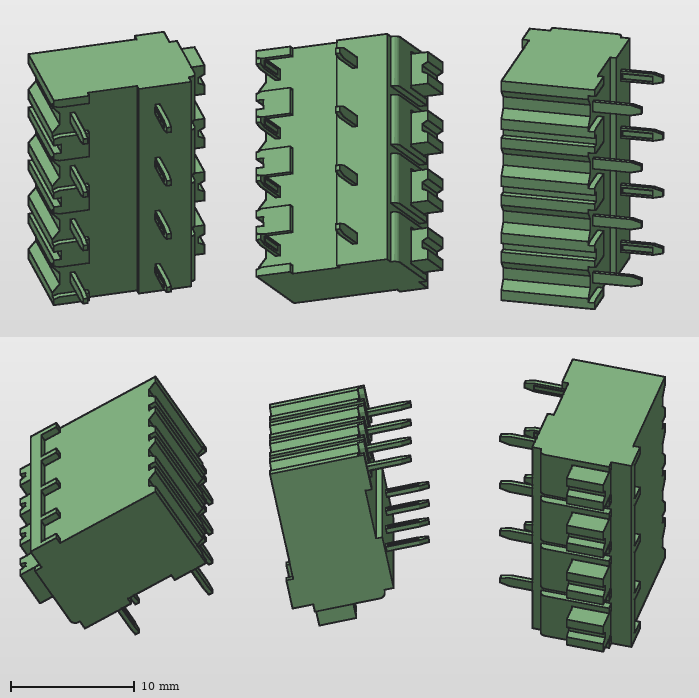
import cadquery as cq

poles = 4
pitch = 5.0
height = 19.2
pole_gap = poles * pitch - height
pole_height = pitch - pole_gap
pole_centers = [height / 2 + (i - (poles - 1) / 2) * pitch for i in range(poles)]
gap_centers = [height / 2 + (i - poles / 2) * pitch for i in range(1, poles)]

flange_thickness = 0.58
body_right = 8.4
body_depth = 11.55

flange_front = 10.56
finger_front = 9.1
finger_height = 0.71
end_finger_center = finger_height / 2

groove_depth = 0.63
groove_mouth_half = 1.23
groove_floor_half = 0.5

channel_floor = 7.87
channel_front = 3.0
channel_back = 7.15
slot_half = 1.4
lip_flare = 0.15
pocket_lip_depth = 0.48

block_left = 1.7
block_right = 7.62
block_top = 12.2
block_round = 0.5
block_lip_depth = 0.2

button_left = 1.77
button_right = 4.85
button_top = 13.65
button_height = 2.69
notch_depth = 0.52
notch_mouth_half = 0.52
notch_floor_half = 0.25

pin_end = 11.9
pin_taper_start = 11.1
pin_half = 0.45
pin_tip_half = 0.23
pin_thickness = 0.38
front_pin_y = 1.7
back_pin_y = 8.72
bead_start = 8.56
bead_height = 0.08
bead_width = 0.46


def block(x0, x1, y0, y1, z0, z1):
    """Box given by its limits along each axis."""
    return cq.Workplane("XY").box(x1 - x0, y1 - y0, z1 - z0, centered=False).translate((x0, y0, z0))


def centered_block(x0, x1, y0, y1, z_center, z_size):
    """Box placed symmetrically about z_center."""
    return block(x0, x1, y0, y1, z_center - z_size / 2, z_center + z_size / 2)


def prism_along_x(yz_points, x0, x1):
    """Closed Y-Z outline extruded from x0 to x1."""
    return cq.Workplane("YZ", origin=(x0, 0, 0)).polyline(yz_points).close().extrude(x1 - x0)


def symmetric_slot(y_half_pairs, z_center, x0, x1):
    """Prism along X, symmetric about z_center, from (Y, half width) pairs."""
    upper = [(y, z_center + half) for y, half in y_half_pairs]
    lower = [(y, z_center - half) for y, half in reversed(y_half_pairs)]
    return prism_along_x(upper + lower, x0, x1)


def make_body():
    body = block(flange_thickness, body_right, 0, body_depth, 0, height)
    body = body.union(block(0, flange_thickness, flange_front, body_depth, 0, height))
    for z in [end_finger_center, *gap_centers, height - end_finger_center]:
        finger = centered_block(0, flange_thickness, finger_front, flange_front, z, finger_height)
        body = body.union(finger)
    body = body.cut(block(channel_floor, body_right, channel_front, channel_back, 0, height))
    for z in gap_centers:
        body = body.cut(centered_block(flange_thickness, body_right, 0, groove_depth, z, pole_gap))
    return body


def pole_groove(z):
    outline = [(0, groove_mouth_half), (groove_depth, groove_floor_half)]
    return symmetric_slot(outline, z, flange_thickness, body_right)


def pin_pocket(z):
    """Pocket with a flared mouth, running from the grooved face into the channel."""
    outline = [(0, slot_half + lip_flare), (pocket_lip_depth, slot_half), (channel_front, slot_half)]
    return symmetric_slot(outline, z, channel_floor, body_right)


def raised_block(z):
    """Raised block with one rounded edge and a flared slot that holds the button."""
    raised = centered_block(block_left, block_right, body_depth, block_top, z, pole_height)
    raised = raised.edges(">X and >Y").fillet(block_round)
    slot_outline = [
        (body_depth, slot_half),
        (block_top - block_lip_depth, slot_half),
        (block_top, slot_half + lip_flare),
    ]
    return raised.cut(symmetric_slot(slot_outline, z, block_left, button_right))


def button(z):
    body = centered_block(button_left, button_right, body_depth, button_top, z, button_height)
    notch_outline = [(button_top, notch_mouth_half), (button_top - notch_depth, notch_floor_half)]
    return body.cut(symmetric_slot(notch_outline, z, button_left, button_right))


def pin(y, z, bead_side):
    """Flat tapered pin with a low bead on its +Y (bead_side 1) or -Y (bead_side -1) face."""
    outline = [
        (channel_floor, z - pin_half),
        (pin_taper_start, z - pin_half),
        (pin_end, z - pin_tip_half),
        (pin_end, z + pin_tip_half),
        (pin_taper_start, z + pin_half),
        (channel_floor, z + pin_half),
    ]
    back_face = y + pin_thickness / 2
    blade = cq.Workplane("XZ", origin=(0, back_face, 0)).polyline(outline).close().extrude(pin_thickness)
    bead_face = y + bead_side * (pin_thickness / 2 + bead_height)
    bead_y = sorted([y, bead_face])
    bead = centered_block(bead_start, pin_taper_start, *bead_y, z, bead_width)
    return blade.union(bead)


result = make_body()
for center in pole_centers:
    result = result.cut(pole_groove(center)).cut(pin_pocket(center))
    result = result.union(raised_block(center)).union(button(center))
    result = result.union(pin(front_pin_y, center, 1)).union(pin(back_pin_y, center, -1))